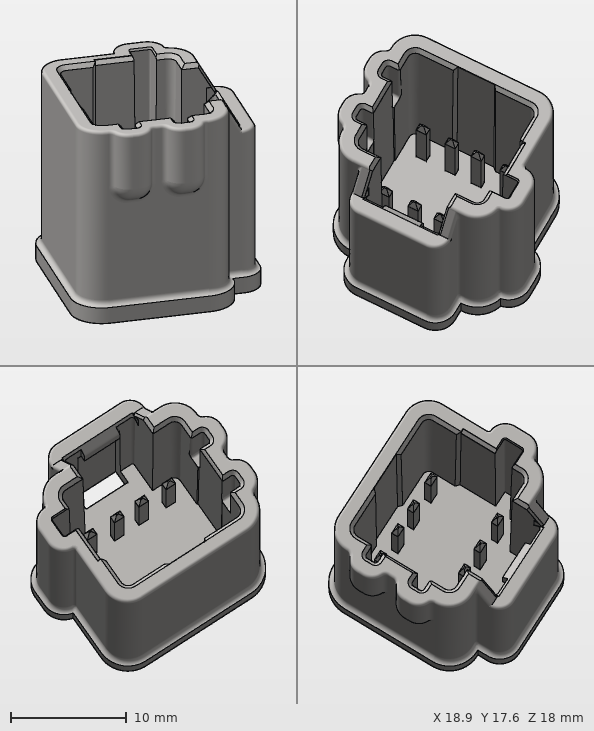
import cadquery as cq
import math

HEIGHT = 18.0
FLANGE_HEIGHT = 1.5
TAB_HEIGHT = 15.2
FLOOR_Z = 2.0

MAIN_X, MAIN_Y, MAIN_R = 16.56, 14.6, 2.8
TAB_X, TAB_Y_MAX = 10.66, 10.25
BUMP_X_MIN, BUMP_Y, BUMP_WIDTH, BUMP_R = -9.93, 2.54, 5.56, 2.07
STEP = 0.5
BULGE_ROOT_R = 0.5
ROOT_R = 0.25
COVE_R = 0.49
TOP_R = 0.3
WALL_X = MAIN_X / 2 - STEP
WALL_Y = MAIN_Y / 2 - STEP

RAMP_ANGLE = 60.0
RAMP_Y_MIN = 6.66
RAMP_Y_MAX = RAMP_Y_MIN + (HEIGHT - TAB_HEIGHT) / math.tan(math.radians(RAMP_ANGLE))
TAB_R = TAB_Y_MAX - RAMP_Y_MAX

BULGE_YS = (-2.35, 2.35)
BULGE_X_MAX, BULGE_WIDTH, BULGE_R = 8.97, 3.56, 1.5
BULGE_Z_MIN = 11.3

DRAFT_RATIO = math.tan(math.radians(0.5))
FULL_DRAFT = DRAFT_RATIO * (HEIGHT - FLOOR_Z)
CAVITY_X, CAVITY_Y, CAVITY_R = 12.0, 10.05, 0.6
RIM_FLARE, RIM_FLARE_HEIGHT = 0.35, 0.4
KEY_FLARE, KEY_FLARE_HEIGHT = 0.1, 0.2
KEY_X_MIN, KEY_Y, KEY_WIDTH, KEY_R = -7.83, 2.63, 1.65, 0.05
SLOT_WIDTH, SLOT_Y_MAX, SLOT_R = 7.02, 8.03, 0.2
SLOT_BEVEL = 0.2
SLOT_RIM_Y = 8.38
BEVEL_RUN, BEVEL_OVERSHOOT = 1.0, 0.4

RECESS_HALF = 1.8
RECESS_OVERLAP = 0.5
DEEP_RECESS, SHALLOW_RECESS = 0.32, 0.08
SHALLOW_FLARE = 0.2

GROOVE_X_MAX, GROOVE_WIDTH, GROOVE_R = 7.37, 1.2, 0.28
GROOVE_Z_MIN = 12.4
GROOVE_X_MIN = CAVITY_X / 2 - 1
MOUTH_R = 0.25
MOUTH_X = CAVITY_X / 2 + 0.1

LATCH_WIDTH, LATCH_Y_MIN, LATCH_Z_MIN = 3.66, 7.6, 13.15
LATCH_DROP = SLOT_RIM_Y - LATCH_Y_MIN
LATCH_R = 0.5
WINDOW_WIDTH, WINDOW_Y_MIN, WINDOW_Y_MAX = 4.36, 6.84, 8.75

PIN_XS = (-4.1, -1.27, 1.27, 4.1)
PIN_YS = (-3.39, 3.39)
PIN_X, PIN_Y, PIN_TOP = 1.0, 0.64, 8.0
TIP_X, TIP_Y, TIP_HEIGHT = 0.24, 0.12, 0.8

TOLERANCE = 0.05
FAR = 50.0


def block(x_min, x_max, y_min, y_max, z_min, z_max):
    size = (x_max - x_min, y_max - y_min, z_max - z_min)
    return cq.Workplane().box(*size, centered=False).translate((x_min, y_min, z_min))


def edges_in_box(shape, low, high):
    return shape.edges(cq.selectors.BoxSelector(low, high))


def rounded_loft(x_range, y_range, radius, z_low, z_high, grow_low, grow_high):
    """Loft between two grown copies of one rounded rectangle."""
    width = x_range[1] - x_range[0]
    depth = y_range[1] - y_range[0]
    centre_x = sum(x_range) / 2
    centre_y = sum(y_range) / 2

    def outline(z, grow):
        flat = cq.Sketch().rect(width + 2 * grow, depth + 2 * grow).vertices().fillet(radius + grow)
        return flat.moved(cq.Location(cq.Vector(centre_x, centre_y, z)))

    return cq.Workplane().placeSketch(outline(z_low, grow_low), outline(z_high, grow_high)).loft()


def drafted_pocket(x_range, y_range, radius, flare, flare_height):
    """Cutter that widens upward by the draft and ends in a bevelled mouth."""
    neck_z = HEIGHT - flare_height
    neck_grow = DRAFT_RATIO * (neck_z - FLOOR_Z)
    walls = rounded_loft(x_range, y_range, radius, FLOOR_Z, HEIGHT, 0, FULL_DRAFT)
    mouth = rounded_loft(x_range, y_range, radius, neck_z, HEIGHT, neck_grow, neck_grow + flare)
    return walls.union(mouth)


def main_block(inset, height):
    """Main block with the key bump, set in from the flange outline."""
    main = (
        cq.Workplane()
        .rect(MAIN_X - 2 * inset, MAIN_Y - 2 * inset)
        .extrude(height)
        .edges("|Z")
        .fillet(MAIN_R - inset)
    )
    half = BUMP_WIDTH / 2 - inset
    bump = block(BUMP_X_MIN + inset, 0, BUMP_Y - half, BUMP_Y + half, 0, height)
    return main.union(bump.edges("|Z and <X").fillet(BUMP_R - inset))


def bulge(y):
    half = BULGE_WIDTH / 2
    shape = block(CAVITY_X / 2, BULGE_X_MAX, y - half, y + half, BULGE_Z_MIN, HEIGHT)
    return shape.edges("(|Z and >X) or (<Z and (not <X))").fillet(BULGE_R)


def main_wall():
    """Solid wall block with key bump, bulges and a rounded top."""
    wall = main_block(STEP, HEIGHT)
    half = BUMP_WIDTH / 2 - STEP
    for y in (BUMP_Y - half, BUMP_Y + half):
        root = cq.selectors.NearestToPointSelector((-WALL_X, y, HEIGHT / 2))
        wall = wall.edges("|Z").edges(root).fillet(ROOT_R)
    for y in BULGE_YS:
        wall = wall.union(bulge(y))
    root_low = (WALL_X - TOLERANCE, -MAIN_Y / 2 + MAIN_R, FLANGE_HEIGHT)
    root_high = (WALL_X + TOLERANCE, MAIN_Y / 2 - MAIN_R, HEIGHT - TOLERANCE)
    wall = edges_in_box(wall, root_low, root_high).fillet(BULGE_ROOT_R)
    return wall.faces(">Z").edges().fillet(TOP_R)


def tab_block(inset, height):
    half = TAB_X / 2 - inset
    tab = block(-half, half, 0, TAB_Y_MAX - inset, 0, height)
    return tab.edges("|Z and >Y").fillet(TAB_R - inset)


def ramp_cutter():
    """Removes everything above the lowered tab and its ramp."""
    return (
        cq.Workplane("YZ")
        .moveTo(RAMP_Y_MIN, HEIGHT)
        .lineTo(RAMP_Y_MAX, TAB_HEIGHT)
        .lineTo(TAB_Y_MAX, TAB_HEIGHT)
        .lineTo(TAB_Y_MAX, HEIGHT)
        .close()
        .extrude(TAB_X / 2, both=True)
    )


def tab_wall():
    """Lowered latch tab whose rounded rim climbs a ramp to full height."""
    tab = tab_block(STEP, HEIGHT).cut(ramp_cutter())
    rim_low = (-TAB_X, TOLERANCE, TAB_HEIGHT - TOLERANCE)
    rim_high = (TAB_X, TAB_Y_MAX, HEIGHT + TOLERANCE)
    rim = [
        edge
        for edge in edges_in_box(tab, rim_low, rim_high).vals()
        if math.hypot(edge.Center().y - RAMP_Y_MAX, edge.Center().z - TAB_HEIGHT) > TOLERANCE
    ]
    return tab.newObject(rim).fillet(TOP_R)


def solid_shell():
    """Outer shape of the housing before the cavity is cut."""
    wall = main_wall().union(tab_wall())
    half = TAB_X / 2 - STEP
    root_low = (-half - TOLERANCE, WALL_Y - TOLERANCE, 0)
    root_high = (half + TOLERANCE, WALL_Y + TOLERANCE, HEIGHT - TOP_R)
    wall = wall.edges("|Z").edges(cq.selectors.BoxSelector(root_low, root_high)).fillet(ROOT_R)
    shell = wall.union(main_block(0, FLANGE_HEIGHT)).union(tab_block(0, FLANGE_HEIGHT))
    ledge_low = (-FAR, -FAR, FLANGE_HEIGHT - TOLERANCE)
    ledge_high = (FAR, FAR, FLANGE_HEIGHT + TOLERANCE)
    ledge = shell.faces(cq.selectors.BoxSelector(ledge_low, ledge_high)).val()
    return shell.newObject(ledge.innerWires()[0].Edges()).fillet(COVE_R)


def recess(depth, flare, angle, wall_distance):
    """Shallow wall recess with 45 degree ends, turned about Z to face a wall."""

    def plan(z, deep):
        near = wall_distance - RECESS_OVERLAP
        far = wall_distance + deep
        near_half = RECESS_HALF + depth + RECESS_OVERLAP
        points = [(near, -near_half), (far, -RECESS_HALF), (far, RECESS_HALF), (near, near_half)]
        return cq.Workplane(origin=(0, 0, z)).polyline(points).close().wire().val()

    top_depth = depth + FULL_DRAFT
    sections = [plan(FLOOR_Z, depth), plan(HEIGHT, top_depth)]
    cutter = cq.Workplane(cq.Solid.makeLoft(sections, True))
    if flare > 0:
        lip_x = wall_distance + top_depth + flare
        lip = block(wall_distance, lip_x, -RECESS_HALF, RECESS_HALF, HEIGHT - RIM_FLARE_HEIGHT, HEIGHT)
        cutter = cutter.union(lip.edges(">X and <Z").chamfer(RIM_FLARE_HEIGHT - TOLERANCE, flare))
    return cutter.rotate((0, 0, 0), (0, 0, 1), angle)


def groove(y):
    """Blind upright channel whose edges are rounded where it opens into the cavity."""
    half = GROOVE_WIDTH / 2
    arc_mid = MOUTH_R * (1 - math.sqrt(0.5))
    channel = (
        cq.Workplane(origin=(0, y, GROOVE_Z_MIN))
        .moveTo(GROOVE_X_MIN, -half - MOUTH_R)
        .lineTo(MOUTH_X, -half - MOUTH_R)
        .threePointArc((MOUTH_X + arc_mid, -half - arc_mid), (MOUTH_X + MOUTH_R, -half))
        .lineTo(GROOVE_X_MAX, -half)
        .lineTo(GROOVE_X_MAX, half)
        .lineTo(MOUTH_X + MOUTH_R, half)
        .threePointArc((MOUTH_X + arc_mid, half + arc_mid), (MOUTH_X, half + MOUTH_R))
        .lineTo(GROOVE_X_MIN, half + MOUTH_R)
        .close()
        .extrude(HEIGHT - GROOVE_Z_MIN)
        .edges("(|Z and >X) or (<Z and (not <X))")
        .fillet(GROOVE_R)
    )
    x_range = (GROOVE_X_MIN, GROOVE_X_MAX)
    y_range = (y - half, y + half)
    neck_z = HEIGHT - RIM_FLARE_HEIGHT
    return channel.union(rounded_loft(x_range, y_range, GROOVE_R, neck_z, HEIGHT, 0, RIM_FLARE))


def latch_slot():
    """Slot into the tab; its mouth bevel stays below the raised space over the tab."""
    half = SLOT_WIDTH / 2
    slot = drafted_pocket((-half, half), (0, SLOT_Y_MAX), SLOT_R, RIM_FLARE, RIM_FLARE_HEIGHT)
    return slot.cut(block(-FAR, FAR, RAMP_Y_MAX, FAR, TAB_HEIGHT + 1, HEIGHT))


def cavity():
    half_x = CAVITY_X / 2
    half_y = CAVITY_Y / 2
    key_range = (KEY_Y - KEY_WIDTH / 2, KEY_Y + KEY_WIDTH / 2)
    space = drafted_pocket((-half_x, half_x), (-half_y, half_y), CAVITY_R, RIM_FLARE, RIM_FLARE_HEIGHT)
    space = space.union(latch_slot())
    space = space.union(drafted_pocket((KEY_X_MIN, 0), key_range, KEY_R, KEY_FLARE, KEY_FLARE_HEIGHT))
    space = space.union(recess(DEEP_RECESS, RIM_FLARE, 180, half_x))
    space = space.union(recess(DEEP_RECESS, 0, -90, half_y))
    space = space.union(recess(SHALLOW_RECESS, SHALLOW_FLARE, 0, half_x))
    for y in BULGE_YS:
        space = space.union(groove(y))
    return space


def slot_rim_bevel():
    """Cutter for the slot rim: along both ramp edges and across the lowered back wall."""
    half = SLOT_WIDTH / 2 + FULL_DRAFT
    slope = math.radians(RAMP_ANGLE)
    ramp_plane = cq.Plane(
        origin=(0, RAMP_Y_MIN, HEIGHT),
        xDir=(-1, 0, 0),
        normal=(0, math.cos(slope), -math.sin(slope)),
    )
    sides = (
        cq.Workplane(ramp_plane)
        .moveTo(-half, -SLOT_BEVEL)
        .lineTo(half, -SLOT_BEVEL)
        .lineTo(half + 2 * SLOT_BEVEL, SLOT_BEVEL)
        .lineTo(-half - 2 * SLOT_BEVEL, SLOT_BEVEL)
        .close()
        .extrude((HEIGHT - TAB_HEIGHT) / math.sin(slope))
    )
    back = (
        cq.Workplane("YZ")
        .moveTo(SLOT_RIM_Y, TAB_HEIGHT)
        .line(-BEVEL_RUN, -BEVEL_RUN)
        .line(0, BEVEL_RUN + BEVEL_OVERSHOOT)
        .lineTo(SLOT_RIM_Y, TAB_HEIGHT + BEVEL_OVERSHOOT)
        .close()
        .extrude(half, both=True)
    )
    return sides.union(back)


def latch_window():
    """Opening through the floor that also undercuts the wall below the latch."""
    half = WINDOW_WIDTH / 2
    return block(-half, half, WINDOW_Y_MIN, WINDOW_Y_MAX, 0, LATCH_Z_MIN)


def latch():
    """Lip on the tab wall with a sloped, rounded lead-in and a flat underside."""
    nose_z = TAB_HEIGHT - LATCH_DROP
    nose = cq.selectors.NearestToPointSelector((0, LATCH_Y_MIN, nose_z))
    return (
        cq.Workplane("YZ")
        .moveTo(WINDOW_Y_MAX, LATCH_Z_MIN)
        .lineTo(LATCH_Y_MIN, LATCH_Z_MIN)
        .lineTo(LATCH_Y_MIN, nose_z)
        .lineTo(SLOT_RIM_Y, TAB_HEIGHT)
        .lineTo(WINDOW_Y_MAX, TAB_HEIGHT)
        .close()
        .extrude(LATCH_WIDTH / 2, both=True)
        .edges(nose)
        .fillet(LATCH_R)
    )


def contact_pin(x, y):
    """Rectangular pin through the floor with a tapered tip."""
    shoulder_z = PIN_TOP - TIP_HEIGHT
    stem = block(x - PIN_X / 2, x + PIN_X / 2, y - PIN_Y / 2, y + PIN_Y / 2, 0, shoulder_z)
    tip = (
        cq.Workplane(origin=(x, y, shoulder_z))
        .rect(PIN_X, PIN_Y)
        .workplane(offset=TIP_HEIGHT)
        .rect(TIP_X, TIP_Y)
        .loft()
    )
    return stem.union(tip)


pins = [contact_pin(x, y) for x in PIN_XS for y in PIN_YS]

housing = solid_shell().cut(cavity()).cut(slot_rim_bevel())
housing = housing.cut(latch_window()).union(latch())
for pin in pins:
    housing = housing.cut(pin)

result = cq.Compound.makeCompound([housing.val(), *[pin.val() for pin in pins]])